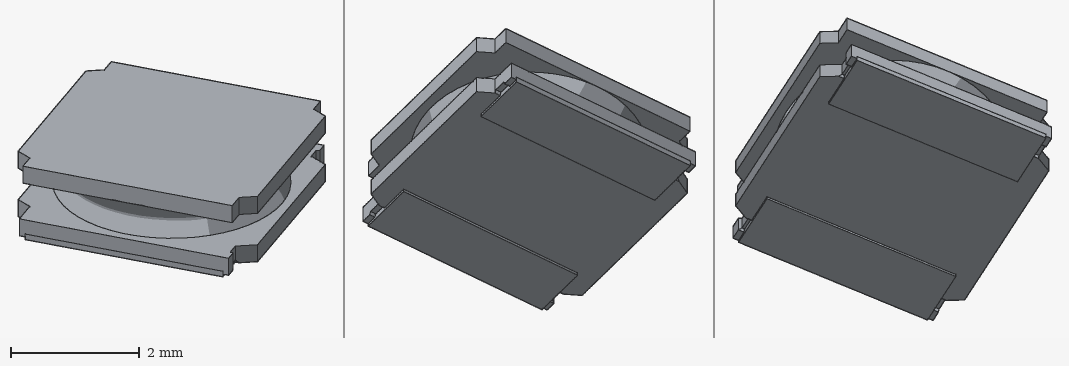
import cadquery as cq
import math

core_length = 4.0
lower_plate_width = 4.0
upper_plate_width = 3.7
overall_height = 1.2
plate_thickness = 0.3
post_diameter = 2.0

notch_depth_x = 0.25
notch_inner_y = 1.56
notch_angle = 29.0

terminal_length = 3.3
terminal_width = 0.96
terminal_thickness = 0.1
terminal_stand_off = 0.05

groove_mouth_width = 0.255
groove_floor_width = 0.21

ring_diameter = upper_plate_width
neck_radius = 0.1
waist_slope = 30.0

core_bottom = terminal_stand_off
lower_plate_top = core_bottom + plate_thickness
upper_plate_bottom = overall_height - plate_thickness
waist_height = upper_plate_bottom - lower_plate_top
waist_center = (lower_plate_top + upper_plate_bottom) / 2
groove_depth = terminal_thickness - terminal_stand_off
groove_center_y = notch_inner_y + groove_mouth_width / 2
notch_wall_x = core_length / 2 - notch_depth_x
terminal_center_y = (lower_plate_width - terminal_width) / 2
SIDES = (-1, 1)


def make_plate(width, bottom):
    """Plate with four slanted corner notches; width is its size along Y."""
    outer_x = core_length / 2
    inner_x = notch_wall_x
    outer_y = notch_inner_y - notch_depth_x * math.tan(math.radians(notch_angle))
    edge_y = width / 2
    outline = [
        (outer_x, -outer_y), (outer_x, outer_y),
        (inner_x, notch_inner_y), (inner_x, edge_y),
        (-inner_x, edge_y), (-inner_x, notch_inner_y),
        (-outer_x, outer_y), (-outer_x, -outer_y),
        (-inner_x, -notch_inner_y), (-inner_x, -edge_y),
        (inner_x, -edge_y), (inner_x, -notch_inner_y),
    ]
    return cq.Workplane("XY", origin=(0, 0, bottom)).polyline(outline).close().extrude(plate_thickness)


def make_terminal(side):
    """Flat terminal strip, flush with the +Y or -Y edge of the lower plate."""
    strip = cq.Workplane("XY").box(
        terminal_length, terminal_width, terminal_thickness, centered=(True, True, False)
    )
    return strip.translate((0, side * terminal_center_y, 0))


def groove_profile(side, mouth, floor):
    """Corners of a groove section as (Y, offset) pairs, from the mouth level to the floor level."""
    groove_y = side * groove_center_y
    return [
        (groove_y - groove_mouth_width / 2, mouth),
        (groove_y + groove_mouth_width / 2, mouth),
        (groove_y + groove_floor_width / 2, floor),
        (groove_y - groove_floor_width / 2, floor),
    ]


def make_underside_groove(side):
    """Cutter for the wire groove along X in the underside of the lower plate."""
    profile = groove_profile(side, core_bottom, core_bottom + groove_depth)
    return cq.Workplane("YZ").polyline(profile).close().extrude(core_length / 2, both=True)


def make_end_groove(side):
    """Cutter for the upright wire groove in the +X notch wall of the lower plate."""
    section = groove_profile(side, notch_wall_x, notch_wall_x - groove_depth)
    profile = [(x, y) for y, x in section]
    base = cq.Workplane("XY", origin=(0, 0, core_bottom))
    return base.polyline(profile).close().extrude(plate_thickness)


def make_core():
    """Drum core with recesses for the terminals and grooves for the wire."""
    post = (
        cq.Workplane("XY", origin=(0, 0, lower_plate_top))
        .circle(post_diameter / 2)
        .extrude(waist_height)
    )
    lower_plate = make_plate(lower_plate_width, core_bottom)
    upper_plate = make_plate(upper_plate_width, upper_plate_bottom)
    core = lower_plate.union(post).union(upper_plate)
    for side in SIDES:
        core = core.cut(make_terminal(side))
        core = core.cut(make_underside_groove(side))
        core = core.cut(make_end_groove(side))
    return core


def make_winding_ring():
    """Ring around the post: two conical faces blended by a tangent arc at the neck."""
    slope = math.radians(waist_slope)
    inner_r = post_diameter / 2
    outer_r = ring_diameter / 2
    apex_r = outer_r - waist_height / 2 * math.tan(slope)
    arc_center_r = apex_r + neck_radius / math.cos(slope)
    neck_r = arc_center_r - neck_radius
    tangent_r = arc_center_r - neck_radius * math.cos(slope)
    tangent_rise = neck_radius * math.sin(slope)
    profile = (
        cq.Workplane("XZ")
        .moveTo(inner_r, lower_plate_top)
        .lineTo(outer_r, lower_plate_top)
        .lineTo(tangent_r, waist_center - tangent_rise)
        .threePointArc((neck_r, waist_center), (tangent_r, waist_center + tangent_rise))
        .lineTo(outer_r, upper_plate_bottom)
        .lineTo(inner_r, upper_plate_bottom)
        .close()
    )
    return profile.revolve(360, (0, 0, 0), (0, 1, 0))


core = make_core()
winding_ring = make_winding_ring()
terminals = [make_terminal(side).val() for side in SIDES]

result = cq.Compound.makeCompound([core.val(), winding_ring.val(), *terminals])